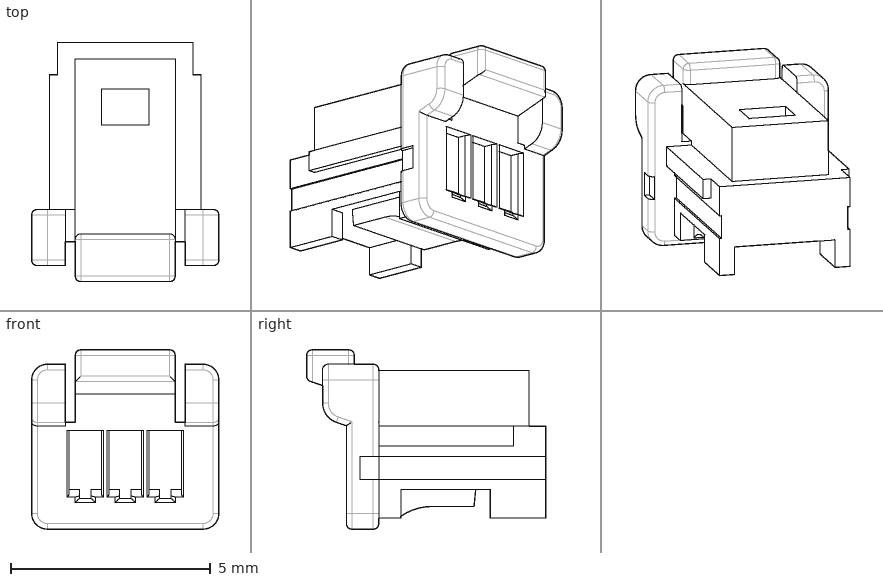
import cadquery as cq
import math


plate_width = 4.7
plate_front = 0.995
plate_back = 1.81
corner_radius = 0.4
edge_radius = 0.145
ear_front = 0.4
ear_top = 4.14
ear_root_z = 2.59
ear_arc_z = 3.16
ear_inner_x = 1.5
overhang_slope = math.radians(19)

body_half_width = 1.7
body_back = 6.0
body_bottom = 0.28
body_top = 2.585
flange_half_width = 1.9
flange_bottom = 2.09
flange_back = 5.19

groove_bottom = 1.24
groove_top = 1.83
groove_depth = 0.055
plate_groove_front = 1.345
plate_groove_depth = 0.14

recess_top = 0.995
recess_front = 2.365
recess_back = 4.6
leg_inner_x = 1.31
rib_half_width = 1.345
rib_bottom = 0.57
rib_back_top = 4.24
rib_back_bottom = 4.2
rib_flat_front = 3.15
rib_arc_radius = 1.38

block_half_width = 1.255
block_back = 5.58
block_top = 3.985
slot_floor = 2.69
lip_back = 1.2
lip_top = 4.5
lip_bottom = 3.74
pocket_half_width = 0.6
pocket_front = 3.925
pocket_back = 4.83
pocket_depth = 0.575

opening_pitch = 1.0
opening_count = 3
opening_depth = 0.37
opening_back = plate_front + opening_depth
opening_half_width = 0.46
opening_top = 2.47
opening_bottom = 0.81
mouth_flare = 0.051
mouth_depth = 0.145
floor_back_z = 0.995

keyway_half_width = 0.26
keyway_bottom = 0.665
keyway_flare = 0.11
keyway_flare_depth = 0.08


def box(x0, x1, y0, y1, z0, z1):
    return cq.Workplane("XY").box(x1 - x0, y1 - y0, z1 - z0, centered=False).translate((x0, y0, z0))


def centered_box(half_width, y0, y1, z0, z1):
    return box(-half_width, half_width, y0, y1, z0, z1)


def extrude_across(profile, half_width):
    """Extrude a closed YZ profile to both sides of X = 0."""
    return profile.extrude(half_width, both=True)


def make_plate():
    """Front plate whose top corners run forward as ears, rounded on its outer edges."""
    sine = math.sin(overhang_slope)
    cosine = math.cos(overhang_slope)
    reach = plate_front - ear_front
    radius = (ear_arc_z - ear_root_z - reach * math.tan(overhang_slope)) * cosine / (1 - sine)
    center_y = ear_front + radius
    half_turn = (math.pi / 2 - overhang_slope) / 2
    side = (
        cq.Workplane("YZ")
        .moveTo(plate_back, 0)
        .lineTo(plate_back, ear_top)
        .lineTo(ear_front, ear_top)
        .lineTo(ear_front, ear_arc_z)
        .threePointArc(
            (center_y - radius * math.cos(half_turn), ear_arc_z - radius * math.sin(half_turn)),
            (center_y - radius * sine, ear_arc_z - radius * cosine),
        )
        .lineTo(plate_front, ear_root_z)
        .lineTo(plate_front, 0)
        .close()
    )
    plate = extrude_across(side, plate_width / 2)
    plate = plate.edges("|Y").edges(">X or <X").fillet(corner_radius)
    inner_corner = cq.selectors.NearestToPointSelector((0, plate_front, ear_root_z))
    return plate.faces("|Y").edges(cq.selectors.InverseSelector(inner_corner)).fillet(edge_radius)


def cut_slots(plate):
    """Open the plate between the ears, leaving room for the upper block."""
    slot = centered_box(ear_inner_x, plate_front, plate_back, slot_floor, ear_top)
    ear_gap = centered_box(ear_inner_x, 0, plate_front, 0, ear_top)
    return plate.cut(slot).cut(ear_gap)


def make_body():
    """Lower body with side flanges, legs and the curved central rib."""
    body = centered_box(body_half_width, plate_front, body_back, body_bottom, body_top)
    flange = centered_box(flange_half_width, plate_front, flange_back, flange_bottom, body_top)
    recess = centered_box(body_half_width, recess_front, recess_back, body_bottom, recess_top)
    leg_gap = centered_box(leg_inner_x, recess_back, body_back, body_bottom, recess_top)
    return body.union(flange).cut(recess).cut(leg_gap).union(make_rib())


def make_rib():
    """Rib between the legs; its underside curves down toward the plate."""
    drop = rib_bottom - body_bottom
    arc_run = math.sqrt(rib_arc_radius**2 - (rib_arc_radius - drop) ** 2)
    half_angle = math.asin(arc_run / rib_arc_radius) / 2
    arc_middle = (
        rib_flat_front - rib_arc_radius * math.sin(half_angle),
        rib_bottom - rib_arc_radius * (1 - math.cos(half_angle)),
    )
    profile = (
        cq.Workplane("YZ")
        .moveTo(plate_back, recess_top)
        .lineTo(rib_back_top, recess_top)
        .lineTo(rib_back_bottom, rib_bottom)
        .lineTo(rib_flat_front, rib_bottom)
        .threePointArc(arc_middle, (rib_flat_front - arc_run, body_bottom))
        .lineTo(plate_back, body_bottom)
        .close()
    )
    return extrude_across(profile, rib_half_width)


def make_block():
    """Upper block with a top pocket and a rounded latch lip overhanging the plate."""
    block = centered_box(block_half_width, plate_front, block_back, recess_top, block_top)
    pocket = centered_box(pocket_half_width, pocket_front, pocket_back, block_top - pocket_depth, block_top)
    return block.cut(pocket).union(make_lip())


def make_lip():
    """Latch lip with a sloped underside, rounded around its front, top and rear."""
    underside_root_z = lip_bottom - lip_back * math.tan(overhang_slope)
    profile = (
        cq.Workplane("YZ")
        .moveTo(0, lip_bottom)
        .lineTo(0, lip_top)
        .lineTo(lip_back, lip_top)
        .lineTo(lip_back, underside_root_z)
        .close()
    )
    lip = extrude_across(profile, block_half_width)
    lip = lip.faces("<Y or >Z or >Y").edges("not <Z").fillet(edge_radius)
    root = centered_box(block_half_width, plate_front, lip_back, underside_root_z, block_top)
    return lip.union(root)


def cut_grooves(housing):
    """Shallow guide groove along each side, ending in a notch in the plate."""
    for side in (-1, 1):
        for outer_x, depth, front, back in (
            (body_half_width, groove_depth, plate_back, body_back),
            (plate_width / 2, plate_groove_depth, plate_groove_front, plate_back),
        ):
            x0, x1 = sorted((side * outer_x, side * (outer_x - depth)))
            housing = housing.cut(box(x0, x1, front, back, groove_bottom, groove_top))
    return housing


def make_opening(half_width, flare, flare_depth, side_profile):
    """Blind opening that narrows behind the plate front, bounded above and below by a YZ profile."""
    flare_end = plate_front + flare_depth
    plan = cq.Workplane("XY").polyline([
        (-half_width, plate_front),
        (-half_width + flare, flare_end),
        (-half_width + flare, opening_back),
        (half_width - flare, opening_back),
        (half_width - flare, flare_end),
        (half_width, plate_front),
    ]).close()
    return plan.extrude(opening_top).intersect(extrude_across(side_profile, half_width))


def make_contact_opening():
    """Contact opening whose floor rises in a gentle curve to the back wall."""
    side = (
        cq.Workplane("YZ")
        .moveTo(plate_front, opening_top)
        .lineTo(plate_front, opening_bottom)
        .threePointArc(
            (plate_front + mouth_depth, opening_bottom + mouth_flare),
            (opening_back, floor_back_z),
        )
        .lineTo(opening_back, opening_top)
        .close()
    )
    return make_opening(opening_half_width, mouth_flare, mouth_depth, side)


def make_keyway():
    """Keyway with a short flared mouth and a level floor."""
    floor_z = keyway_bottom + keyway_flare
    side = cq.Workplane("YZ").polyline([
        (plate_front, floor_back_z),
        (plate_front, keyway_bottom),
        (plate_front + keyway_flare_depth, floor_z),
        (opening_back, floor_z),
        (opening_back, floor_back_z),
    ]).close()
    return make_opening(keyway_half_width, keyway_flare, keyway_flare_depth, side)


def cut_openings(housing):
    """Row of contact openings, each with its keyway."""
    opening = make_contact_opening().union(make_keyway())
    for index in range(opening_count):
        x = (index - (opening_count - 1) / 2) * opening_pitch
        housing = housing.cut(opening.translate((x, 0, 0)))
    return housing


housing = cut_slots(make_plate()).union(make_body()).union(make_block())
result = cut_openings(cut_grooves(housing))